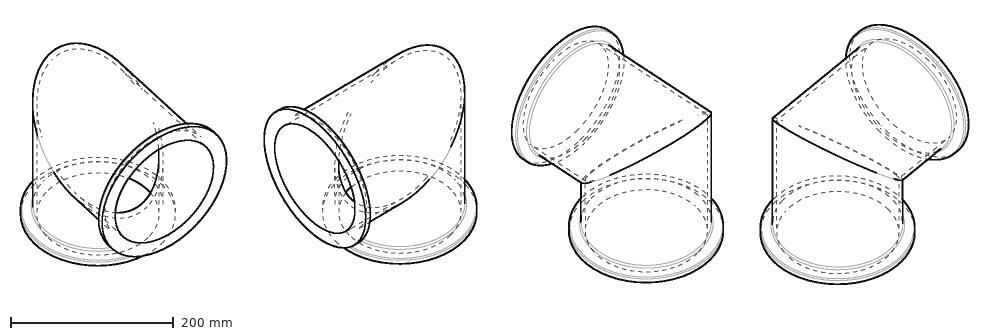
import cadquery as cq
import math

tube_diameter = 160.0
bore_diameter = 150.0
flange_diameter = 190.0
axis_to_face = 138.0
rim_height = 8.0
cone_angle = 20.0
rim_fillet = 2.0
neck_fillet = 3.0

tube_radius = tube_diameter / 2
bore_radius = bore_diameter / 2
flange_radius = flange_diameter / 2
cone_rise = (flange_radius - tube_radius) * math.tan(math.radians(cone_angle))
neck_height = rim_height + cone_rise
tube_length = axis_to_face + tube_radius

FACE_DOWN = cq.Plane(origin=(0, 0, -axis_to_face), xDir=(1, 0, 0), normal=(0, 0, 1))
FACE_RIGHT = cq.Plane(origin=(axis_to_face, 0, 0), xDir=(0, 0, -1), normal=(-1, 0, 0))


def circle_at(height, radius):
    """Selector for the circular edge at a height above the flange face."""
    tolerance = 0.1
    reach = radius + tolerance
    low = (-reach, -reach, height - tolerance)
    high = (reach, reach, height + tolerance)
    return cq.selectors.BoxSelector(low, high, boundingbox=True)


def flanged_tube():
    """Solid tube along +Z, with its clamp flange face at Z = 0."""
    profile = [
        (0, 0),
        (flange_radius, 0),
        (flange_radius, rim_height),
        (tube_radius, neck_height),
        (tube_radius, tube_length),
        (0, tube_length),
    ]
    body = cq.Workplane("XZ").polyline(profile).close().revolve(360, (0, 0), (0, 1))
    body = body.edges(circle_at(rim_height, flange_radius)).fillet(rim_fillet)
    return body.edges(circle_at(neck_height, tube_radius)).fillet(neck_fillet)


def bore():
    """Bore of one leg, running past the miter."""
    return cq.Workplane("XY").circle(bore_radius).extrude(tube_length)


def miter_cutter():
    """Prism covering everything past the 45 degree miter plane of a leg along +Z."""
    reach = 2 * tube_length
    outline = [
        (-reach, axis_to_face + reach),
        (reach, axis_to_face - reach),
        (reach, axis_to_face + reach),
    ]
    return cq.Workplane("XZ").polyline(outline).close().extrude(flange_radius, both=True)


def place(leg, face):
    """Move a leg so that its flange face lies on the given plane."""
    return leg.val().moved(face.location)


mitered_leg = flanged_tube().cut(bore()).cut(miter_cutter())
upright_leg = cq.Workplane(place(mitered_leg, FACE_DOWN))
result = upright_leg.union(place(mitered_leg, FACE_RIGHT))